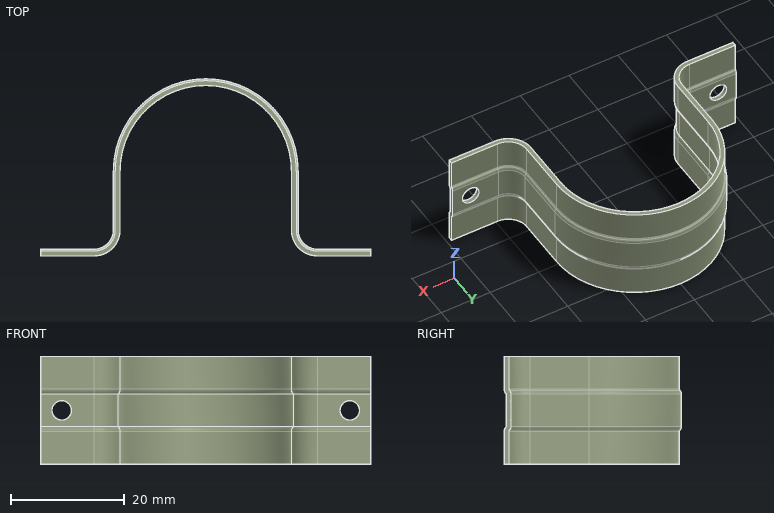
import cadquery as cq
import math

length = 58.2
height = 19.05
thickness = 0.9
saddle_radius = 15.1
axis_height = 14.95
bend_radius = 4.6

band_rise = 0.35
band_flat = 5.75
step_width = 0.9

hole_diameter = 3.4
hole_edge_distance = 3.7

step_angle = 2 * math.atan(band_rise / step_width)
step_radius = step_width / math.sin(step_angle)
concave_radius = step_radius - thickness

mount_y = -axis_height
foot_tip_x = length / 2
band_half = band_flat / 2
step_half = band_half + step_width


def on_circle(center, radius, angle):
    """Point of a circle in the section, at an angle measured from local +x."""
    return (center[0] + radius * math.cos(angle), center[1] + radius * math.sin(angle))


def strip_section():
    """Pressed sheet section at the left foot tip; the mounting face is at local x = 0."""
    lower_center = (step_radius, -step_half)
    lower_corner = (band_rise, -band_half)

    turned = math.pi - step_angle
    halfway = math.pi - step_angle / 2
    inner_mid = on_circle(lower_center, step_radius, halfway)
    concave_mid = on_circle(lower_center, concave_radius, halfway)
    concave_end = on_circle(lower_center, concave_radius, turned)
    convex_mid = on_circle(lower_corner, thickness, -step_angle / 2)
    convex_end = (band_rise + thickness, -band_half)

    def mirrored(point):
        return (point[0], -point[1])

    section_plane = cq.Plane(origin=(-foot_tip_x, mount_y, 0), xDir=(0, 1, 0), normal=(1, 0, 0))
    return (
        cq.Workplane(section_plane)
        .moveTo(0, -height / 2)
        .lineTo(0, -step_half)
        .threePointArc(inner_mid, lower_corner)
        .lineTo(*mirrored(lower_corner))
        .threePointArc(mirrored(inner_mid), (0, step_half))
        .lineTo(0, height / 2)
        .lineTo(thickness, height / 2)
        .lineTo(thickness, step_half)
        .threePointArc(mirrored(concave_mid), mirrored(concave_end))
        .threePointArc(mirrored(convex_mid), mirrored(convex_end))
        .lineTo(*convex_end)
        .threePointArc(convex_mid, concave_end)
        .threePointArc(concave_mid, (thickness, -step_half))
        .lineTo(thickness, -height / 2)
        .close()
    )


def strap_path():
    """Line of the mounting face: foot, bend, leg, half-round saddle, leg, bend, foot."""
    bend_center_x = saddle_radius + bend_radius
    bend_center_y = mount_y + bend_radius
    return (
        cq.Workplane("XY")
        .moveTo(-foot_tip_x, mount_y)
        .lineTo(-bend_center_x, mount_y)
        .tangentArcPoint((-saddle_radius, bend_center_y), relative=False)
        .lineTo(-saddle_radius, 0)
        .threePointArc((0, saddle_radius), (saddle_radius, 0))
        .lineTo(saddle_radius, bend_center_y)
        .tangentArcPoint((bend_center_x, mount_y), relative=False)
        .lineTo(foot_tip_x, mount_y)
    )


def screw_holes():
    """Two pins through the middle of the feet, longer than the sheet is thick."""
    hole_x = foot_tip_x - hole_edge_distance
    drill_length = 2 * (thickness + band_rise)
    return (
        cq.Workplane("XZ", origin=(0, mount_y, 0))
        .pushPoints([(-hole_x, 0), (hole_x, 0)])
        .circle(hole_diameter / 2)
        .extrude(-drill_length)
    )


strap = strip_section().sweep(strap_path())
result = strap.cut(screw_holes())